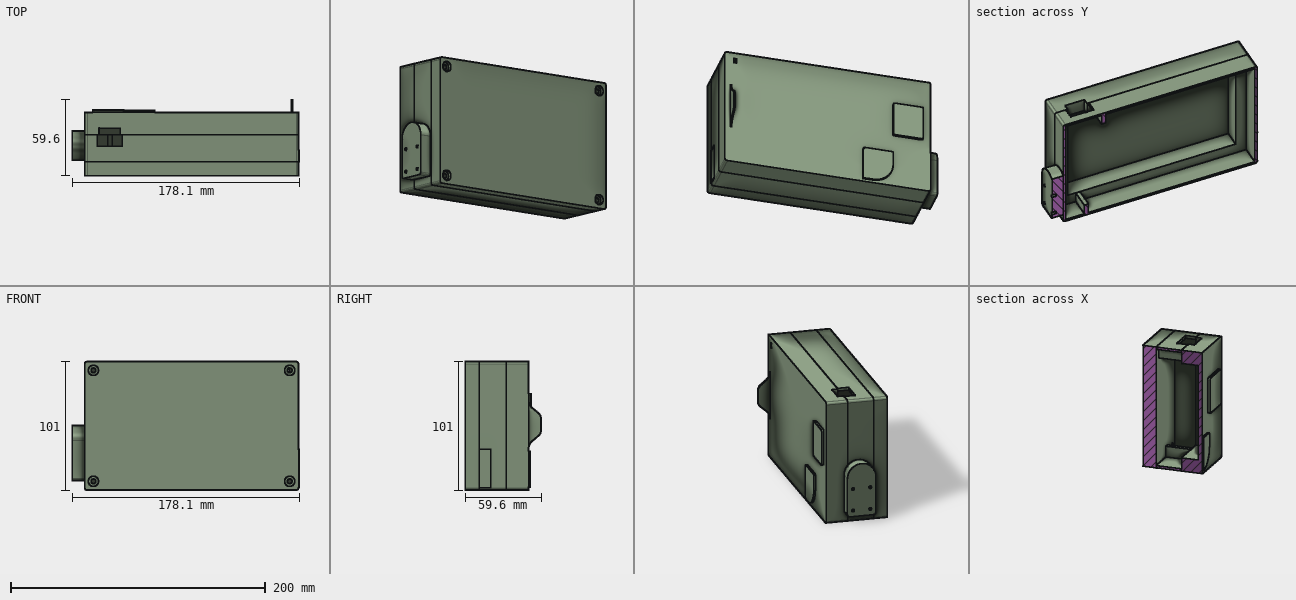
import cadquery as cq
import math


case_length = 167.9
case_depth = 49.8
case_height = 101.0
case_corner_radius = 2.0
cover_depth = 11.2
frame_depth = 21.2
shell_depth = case_depth - cover_depth - frame_depth
shell_front = cover_depth + frame_depth
case_left = -case_length / 2
case_right = case_length / 2
case_top = case_height / 2
case_bottom = -case_height / 2

frame_wall = 2.3
shell_wall = 11.4
shell_back_thickness = 3.5

screw_inset = 7.0
screw_hole_diameter = 3.7
screw_head_diameter = 8.0
screw_head_depth = 3.0

slot_right_inset = 7.5
slot_width = 2.1
slot_height = 3.7

frame_opening_left_inset = 9.8
frame_opening_width = 19.8
frame_opening_depth = 9.0
shell_opening_left_inset = 11.2
shell_opening_width = 16.7
shell_opening_depth = 5.0

frame_rib_thickness = 3.7
frame_rib_height = 8.9
floor_rib_left_inset = 18.2
top_rib_gap = 3.7

pad_thickness = 0.4
pad_depth = 8.9
pad_height = 30.0
pad_bottom_inset = 2.0

cap_thickness = 9.8
cap_width = 23.1
cap_height = 43.5
cap_corner_radius = 2.0
cap_front_inset = 12.1
cap_bottom_inset = 7.5
cap_hole_diameter = 2.0
cap_hole_depth = 3.5
cap_hole_spacing_y = 14.0
cap_hole_spacing_z = 18.0
cap_hole_bottom_inset = 5.0

plate_corner_radius = 1.2
upper_plate_left_inset = 6.4
upper_plate_width = 24.4
upper_plate_height = 29.2
upper_plate_thickness = 2.0
upper_plate_top_inset = 25.3
lower_plate_width = 24.4
lower_plate_height = 28.3
lower_plate_thickness = 1.5
lower_plate_bottom_inset = 2.3
lower_plate_round_radius = 16.5

fin_thickness = 1.0
fin_right_inset = 4.6
fin_rise = 9.8
fin_base_half_width = 15.5
fin_flank_angle = 50
fin_crest_radius = 5.3
fin_foot_radius = 8.5
fin_center_z = 1.0


def block(x_min, y_min, z_min, length, depth, height):
    """Box placed by its lowest corner."""
    box = cq.Workplane("XY").box(length, depth, height, centered=False)
    return box.translate((x_min, y_min, z_min))


def case_slice(y_min, depth):
    """Slice of the rounded case, from y_min backwards."""
    slab = block(case_left, y_min, case_bottom, case_length, depth, case_height)
    return slab.edges("|Y").fillet(case_corner_radius)


def case_hollow(y_min, depth, wall):
    """Space inside the case that leaves a wall of even thickness around it."""
    return block(
        case_left + wall, y_min, case_bottom + wall,
        case_length - 2 * wall, depth, case_height - 2 * wall,
    )


def rod_along_y(x, z, y_min, depth, diameter):
    rod = cq.Workplane("XZ").circle(diameter / 2).extrude(-depth)
    return rod.translate((x, y_min, z))


def make_front_cover():
    cover = case_slice(0, cover_depth)
    for x in (case_left + screw_inset, case_right - screw_inset):
        for z in (case_bottom + screw_inset, case_top - screw_inset):
            cover = cover.cut(rod_along_y(x, z, 0, cover_depth, screw_hole_diameter))
            cover = cover.cut(rod_along_y(x, z, 0, screw_head_depth, screw_head_diameter))
    return cover


def make_frame():
    frame = case_slice(cover_depth, frame_depth)
    frame = frame.cut(case_hollow(cover_depth, frame_depth, frame_wall))
    opening = block(
        case_left + frame_opening_left_inset, shell_front - frame_opening_depth, case_top - frame_wall,
        frame_opening_width, frame_opening_depth, frame_wall,
    )
    floor_rib = block(
        case_left + floor_rib_left_inset, cover_depth, case_bottom + frame_wall / 2,
        frame_rib_thickness, frame_depth, frame_wall / 2 + frame_rib_height,
    )
    top_rib = block(
        case_left + frame_opening_left_inset + frame_opening_width + top_rib_gap,
        cover_depth,
        case_top - frame_wall - frame_rib_height,
        frame_rib_thickness, frame_depth, frame_wall / 2 + frame_rib_height,
    )
    pad = block(
        case_right - frame_wall / 2, cover_depth, case_bottom + pad_bottom_inset,
        frame_wall / 2 + pad_thickness, pad_depth, pad_height,
    )
    return frame.cut(opening).union(floor_rib).union(top_rib).union(pad)


def make_back_shell():
    shell = case_slice(shell_front, shell_depth)
    shell = shell.cut(case_hollow(shell_front, shell_depth - shell_back_thickness, shell_wall))
    opening = block(
        case_left + shell_opening_left_inset, shell_front, case_top - shell_wall,
        shell_opening_width, shell_opening_depth, shell_wall,
    )
    slot = block(
        case_right - slot_right_inset - slot_width, shell_front, case_top - screw_inset - slot_height / 2,
        slot_width, shell_depth, slot_height,
    )
    return shell.cut(opening).cut(slot)


def make_end_cap():
    center_y = cap_front_inset + cap_width / 2
    bottom = case_bottom + cap_bottom_inset
    round_radius = cap_width / 2
    straight_top = bottom + cap_height - round_radius
    cap = (
        cq.Workplane("YZ", origin=(case_left - cap_thickness, 0, 0))
        .moveTo(center_y - round_radius, bottom)
        .lineTo(center_y + round_radius, bottom)
        .lineTo(center_y + round_radius, straight_top)
        .threePointArc((center_y, straight_top + round_radius), (center_y - round_radius, straight_top))
        .close()
        .extrude(cap_thickness)
    )
    cap = cap.edges("|X and <Z").fillet(cap_corner_radius)
    holes = (
        cq.Workplane("YZ", origin=(case_left - cap_thickness, 0, 0))
        .center(center_y, bottom + cap_hole_bottom_inset + cap_hole_spacing_z / 2)
        .rarray(cap_hole_spacing_y, cap_hole_spacing_z, 2, 2)
        .circle(cap_hole_diameter / 2)
        .extrude(cap_hole_depth)
    )
    return cap.cut(holes)


def make_upper_plate():
    plate = block(
        case_left + upper_plate_left_inset, case_depth, case_top - upper_plate_top_inset - upper_plate_height,
        upper_plate_width, upper_plate_thickness, upper_plate_height,
    )
    return plate.edges("|Y").fillet(plate_corner_radius)


def make_lower_plate():
    plate = block(
        case_left + upper_plate_left_inset + upper_plate_width,
        case_depth,
        case_bottom + lower_plate_bottom_inset,
        lower_plate_width, lower_plate_thickness, lower_plate_height,
    )
    plate = plate.edges("|Y and <X and <Z").fillet(lower_plate_round_radius)
    return plate.edges("|Y and >Z").fillet(plate_corner_radius)


def make_fin():
    """Thin lug with slanting flanks, rounded at the crest and flared at the foot."""
    angle = math.radians(fin_flank_angle)
    crest_half_width = fin_base_half_width - fin_rise / math.tan(angle)
    foot_tangent = fin_foot_radius * math.tan(angle / 2)
    crest_tangent = fin_crest_radius * math.tan(angle / 2)

    foot = (0, fin_base_half_width + foot_tangent)
    flank_start = (
        foot_tangent * math.sin(angle),
        fin_base_half_width - foot_tangent * math.cos(angle),
    )
    flank_end = (
        fin_rise - crest_tangent * math.sin(angle),
        crest_half_width + crest_tangent * math.cos(angle),
    )
    crest = (fin_rise, crest_half_width - crest_tangent)

    def mirrored(point):
        return point[0], -point[1]

    return (
        cq.Workplane("YZ", origin=(case_right - fin_right_inset - fin_thickness, case_depth, fin_center_z))
        .moveTo(*mirrored(foot))
        .radiusArc(mirrored(flank_start), fin_foot_radius)
        .lineTo(*mirrored(flank_end))
        .radiusArc(mirrored(crest), -fin_crest_radius)
        .lineTo(*crest)
        .radiusArc(flank_end, -fin_crest_radius)
        .lineTo(*flank_start)
        .radiusArc(foot, fin_foot_radius)
        .close()
        .extrude(fin_thickness)
    )


front_cover = make_front_cover()
frame = make_frame()
back_shell = make_back_shell()
end_cap = make_end_cap()
upper_plate = make_upper_plate()
lower_plate = make_lower_plate()
fin = make_fin()

result = cq.Compound.makeCompound([
    front_cover.val(),
    frame.val(),
    back_shell.val(),
    end_cap.val(),
    upper_plate.val(),
    lower_plate.val(),
    fin.val(),
])